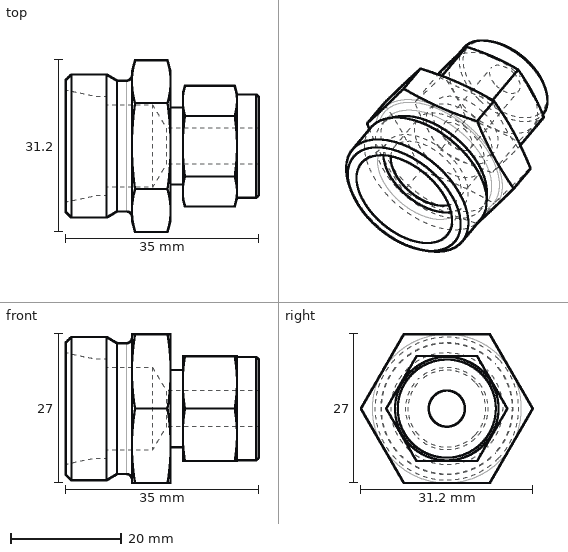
import cadquery as cq
import math


thread_radius = 13.0
thread_chamfer = 1.0
thread_end_x = 7.42
relief_radius = 11.85
relief_start_x = 9.3
relief_fillet = 1.0

body_hex_flats = 27.0
body_hex_start_x = 12.0
body_hex_end_x = 19.0

neck_radius = 7.0

nut_flats = 19.0
nut_start_x = 21.2
nut_end_x = 31.0
collar_radius = 9.38
collar_chamfer = 0.5
total_length = 35.0

hex_chamfer_angle = 15.0

mouth_radius = 10.15
socket_radius = 9.0
cone_half_angle = 12.0
socket_depth = 7.5
counterbore_radius = 7.45
counterbore_depth = 15.75
through_radius = 3.25
drill_half_angle = 59.0


def revolve_about_x(profile):
    return profile.close().revolve(360, (0, 0, 0), (1, 0, 0))


def cylinder(radius, start_x, end_x):
    return cq.Workplane("YZ", origin=(start_x, 0, 0)).circle(radius).extrude(end_x - start_x)


def chamfered_hexagon(flats, start_x, end_x):
    """Hexagon with two horizontal flats, its corners turned down conically at both ends."""
    flat_radius = flats / 2
    corner_radius = flat_radius / math.cos(math.radians(30))
    chamfer_length = (corner_radius - flat_radius) * math.tan(math.radians(hex_chamfer_angle))
    prism = (
        cq.Workplane("YZ", origin=(start_x, 0, 0))
        .polygon(6, 2 * corner_radius)
        .extrude(end_x - start_x)
    )
    turned_blank = revolve_about_x(
        cq.Workplane("XY")
        .moveTo(start_x, 0)
        .lineTo(start_x, flat_radius)
        .lineTo(start_x + chamfer_length, corner_radius)
        .lineTo(end_x - chamfer_length, corner_radius)
        .lineTo(end_x, flat_radius)
        .lineTo(end_x, 0)
    )
    return prism.intersect(turned_blank)


def threaded_end():
    """Chamfered spigot with a relief groove that is filleted into the body hexagon."""
    return revolve_about_x(
        cq.Workplane("XY")
        .lineTo(0, thread_radius - thread_chamfer)
        .lineTo(thread_chamfer, thread_radius)
        .lineTo(thread_end_x, thread_radius)
        .lineTo(relief_start_x, relief_radius)
        .lineTo(body_hex_start_x - relief_fillet, relief_radius)
        .radiusArc((body_hex_start_x, relief_radius + relief_fillet), -relief_fillet)
        .lineTo(body_hex_start_x, 0)
    )


def passage():
    """Tapered mouth, straight socket, drilled counterbore and through hole."""
    taper_depth = (mouth_radius - socket_radius) / math.tan(math.radians(cone_half_angle))
    drill_tip = (counterbore_radius - through_radius) / math.tan(math.radians(drill_half_angle))
    return revolve_about_x(
        cq.Workplane("XY")
        .lineTo(0, mouth_radius)
        .lineTo(taper_depth, socket_radius)
        .lineTo(socket_depth, socket_radius)
        .lineTo(socket_depth, counterbore_radius)
        .lineTo(counterbore_depth, counterbore_radius)
        .lineTo(counterbore_depth + drill_tip, through_radius)
        .lineTo(total_length, through_radius)
        .lineTo(total_length, 0)
    )


body_hexagon = chamfered_hexagon(body_hex_flats, body_hex_start_x, body_hex_end_x)
neck = cylinder(neck_radius, body_hex_end_x, nut_start_x)
nut = chamfered_hexagon(nut_flats, nut_start_x, nut_end_x)
collar = cylinder(collar_radius, nut_end_x, total_length).faces(">X").chamfer(collar_chamfer)

result = threaded_end().union(body_hexagon).union(neck).union(nut).union(collar).cut(passage())